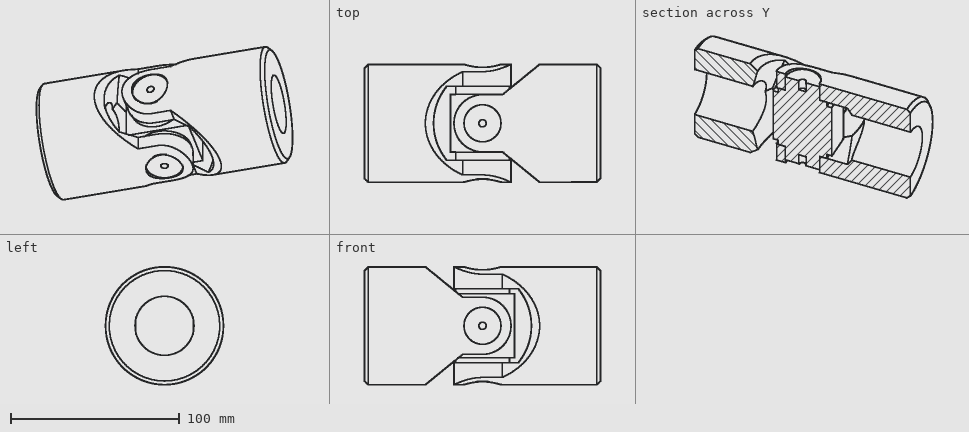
import cadquery as cq

joint_length = 140.0
body_diameter = 70.0
bore_diameter = 35.0
end_chamfer = 2.2

ear_half_width = 17.0
shoulder_inner_x = 11.8
shoulder_outer_x = 33.9
ear_inner_face = 21.8
gap_middle_radius = 36.4
gap_edge_radius = 28.0

pin_diameter = 22.0
pin_end = 32.8
block_size = 38.1
block_width = 34.2
collar_diameter = 32.0
center_hole_diameter = 4.3
center_hole_depth = 7.0

body_radius = body_diameter / 2
half_length = joint_length / 2


def ear_outline():
    """Plate across Y: rounded ear, straight sides and shoulders sloping out to the body."""
    return (
        cq.Workplane("XY")
        .workplane(offset=-body_radius)
        .moveTo(0, ear_half_width)
        .lineTo(shoulder_inner_x, ear_half_width)
        .lineTo(shoulder_outer_x, body_radius)
        .lineTo(half_length, body_radius)
        .lineTo(half_length, -body_radius)
        .lineTo(shoulder_outer_x, -body_radius)
        .lineTo(shoulder_inner_x, -ear_half_width)
        .lineTo(0, -ear_half_width)
        .threePointArc((-ear_half_width, 0), (0, ear_half_width))
        .close()
        .extrude(body_diameter)
    )


def ear_gap():
    """Gap between the flat ear faces; a double cone about the Y axis shapes its closed end."""
    double_cone = (
        cq.Workplane("XY")
        .moveTo(0, -body_radius)
        .lineTo(gap_edge_radius, -body_radius)
        .lineTo(gap_middle_radius, 0)
        .lineTo(gap_edge_radius, body_radius)
        .lineTo(0, body_radius)
        .close()
        .revolve(360, (0, 0, 0), (0, 1, 0))
    )
    slab = cq.Workplane("XY").box(body_diameter * 2, body_diameter, ear_inner_face * 2)
    return double_cone.intersect(slab)


def make_yoke():
    """Yoke on the +X side with its ears at +Z and -Z."""
    body = (
        cq.Workplane("YZ")
        .workplane(offset=-body_radius)
        .circle(body_radius)
        .extrude(half_length + body_radius)
        .faces(">X")
        .chamfer(end_chamfer)
    )
    bore = cq.Workplane("YZ").circle(bore_diameter / 2).extrude(half_length)
    pin_hole = cq.Workplane("XY").circle(pin_diameter / 2).extrude(body_radius, both=True)
    return body.intersect(ear_outline()).cut(ear_gap()).cut(bore).cut(pin_hole)


def make_cross():
    """Block with a collar, a pin and a blind center hole on each Y and Z face."""
    cross = cq.Workplane("XY").box(block_size, block_width, block_size)
    for plane in ("XY", "XZ"):
        collars = cq.Workplane(plane).circle(collar_diameter / 2).extrude(ear_inner_face, both=True)
        pins = cq.Workplane(plane).circle(pin_diameter / 2).extrude(pin_end, both=True)
        cross = cross.union(collars).union(pins)
    for face in (">Z", "<Z", ">Y", "<Y"):
        cross = cross.faces(face).workplane(centerOption="CenterOfMass").hole(
            center_hole_diameter, center_hole_depth
        )
    return cross


right_yoke = make_yoke()
left_yoke = right_yoke.rotate((0, 0, 0), (0, 0, 1), 180).rotate((0, 0, 0), (1, 0, 0), 90)
cross = make_cross()

result = cq.Compound.makeCompound([right_yoke.val(), left_yoke.val(), cross.val()])